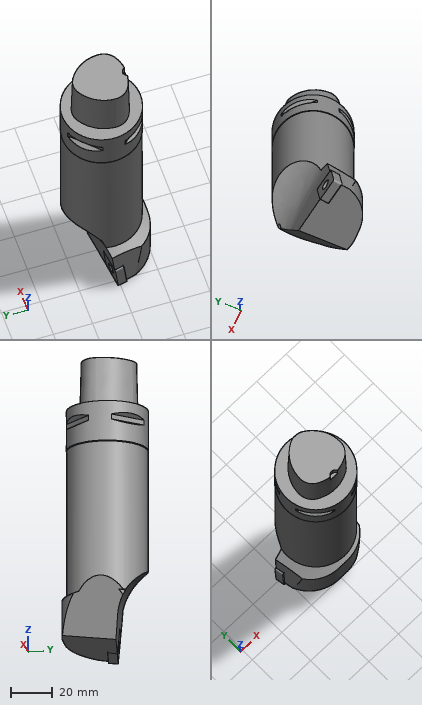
import cadquery as cq
import math


shank_height = 23.9
lobe_distance = 6.0
lobe_radius = 9.0
shank_taper = math.degrees(math.atan(1 / 40))
key_notch_diameter = 5.2
key_notch_depth = 4.2
key_notch_offset = 13.5

flange_diameter = 40.0
flange_height = 20.0
flange_bevel = 0.5
groove_count = 4
groove_floor_distance = 17.5
groove_floor_height = 2.5
groove_mouth_height = 5.3
groove_depth_z = 8.0

neck_diameter = 39.7
neck_bottom = -94.9
head_radius = 20.0
head_center_y = -2.2
head_left_center = -5.5
head_right_center = -0.1
head_bottom_limit = -123.8
head_tangent_angle = 26.7
head_flat_length = 17.3
shoulder_slope = 0.5
shoulder_radius = 43.2

rake_corner = (-24.8, 2.7, -97.0)
rake_slope_x = 0.15
rake_slope_z = 0.1
relief_slope = 0.17
flank_lean = 0.077
bottom_level = -117.0
bottom_slope_x = 0.09
bottom_slope_y = -0.11

chip_arc_rise = 21.3
chip_arc_width = 14.3
chip_drop_per_x = 0.25
chip_sweep = 86.4

back_relief_start = (19.9, -88.3)
back_relief_slope = 2.0

insert_tip_x = -26.8
insert_tip_z = -120.2
insert_edge = 13.0
insert_angle = 80
insert_tilt = 7
insert_thickness = 4.8
insert_corner_radius = 0.9
insert_hole_diameter = 5.2

cut_size = 288


def polar(radius, degrees):
    angle = math.radians(degrees)
    return cq.Vector(radius * math.cos(angle), radius * math.sin(angle))


def half_space(point, outward):
    """Block that fills the side of a plane to which the outward normal points."""
    plane = cq.Plane(origin=point, normal=outward)
    return cq.Workplane(plane).rect(cut_size, cut_size).extrude(cut_size)


def rake_y(x, z):
    corner_x, corner_y, corner_z = rake_corner
    return corner_y + rake_slope_x * (x - corner_x) + rake_slope_z * (z - corner_z)


def make_shank():
    flank_radius = 2 * lobe_distance * math.cos(math.radians(30)) + lobe_radius
    lobe_angles = [90, 210, 330]
    outline = None
    for lobe_angle in lobe_angles:
        center = polar(lobe_distance, lobe_angle)
        lobe_start = center + polar(lobe_radius, lobe_angle - 30)
        lobe_middle = center + polar(lobe_radius, lobe_angle)
        lobe_end = center + polar(lobe_radius, lobe_angle + 30)
        flank_center = polar(lobe_distance, lobe_angle + 240)
        flank_middle = flank_center + polar(flank_radius, lobe_angle + 60)
        next_start = polar(lobe_distance, lobe_angle + 120) + polar(lobe_radius, lobe_angle + 90)
        if outline is None:
            outline = cq.Workplane("XY").moveTo(lobe_start.x, lobe_start.y)
        outline = outline.threePointArc(lobe_middle.toTuple()[:2], lobe_end.toTuple()[:2])
        outline = outline.threePointArc(flank_middle.toTuple()[:2], next_start.toTuple()[:2])
    shank = outline.close().extrude(shank_height, taper=shank_taper)
    notch = (
        cq.Workplane("XY", origin=(0, -key_notch_offset, shank_height - key_notch_depth))
        .circle(key_notch_diameter / 2)
        .extrude(key_notch_depth)
    )
    return shank.cut(notch)


def make_flange_and_neck():
    flange_radius = flange_diameter / 2
    neck_radius = neck_diameter / 2
    body = (
        cq.Workplane("XZ")
        .polyline([
            (0, 0),
            (flange_radius, 0),
            (flange_radius, -flange_height),
            (neck_radius, -flange_height - flange_bevel),
            (neck_radius, neck_bottom),
            (0, neck_bottom),
        ])
        .close()
        .revolve(360, (0, 0), (0, 1))
    )
    half_floor = groove_floor_height / 2
    half_mouth = groove_mouth_height / 2
    groove = (
        cq.Workplane("XZ", origin=(0, 0, -groove_depth_z))
        .polyline([
            (groove_floor_distance, half_floor),
            (flange_radius, half_mouth),
            (flange_radius, -half_mouth),
            (groove_floor_distance, -half_floor),
        ])
        .close()
        .extrude(flange_radius, both=True)
    )
    for index in range(groove_count):
        angle = (index + 0.5) * 360 / groove_count
        body = body.cut(groove.rotate((0, 0, 0), (0, 0, 1), angle))
    return body


def make_head_blank():
    """Offset rounded block under a conical shoulder."""
    tangent = math.radians(head_tangent_angle)
    left_center = cq.Vector(head_left_center, head_center_y)
    wall_end = left_center + polar(head_radius, 180 + head_tangent_angle)
    wall_middle = left_center + polar(head_radius, 225 + head_tangent_angle / 2)
    flat_end_x = wall_end.x - head_flat_length * math.sin(tangent)
    flat_end_y = wall_end.y + head_flat_length * math.cos(tangent)
    head_top_y = head_center_y + head_radius
    head_front_y = head_center_y - head_radius
    right_x = head_right_center + head_radius
    block = (
        cq.Workplane("XY", origin=(0, 0, head_bottom_limit))
        .moveTo(flat_end_x, flat_end_y)
        .lineTo(wall_end.x, wall_end.y)
        .threePointArc((wall_middle.x, wall_middle.y), (head_left_center, head_front_y))
        .lineTo(head_right_center, head_front_y)
        .threePointArc((right_x, head_center_y), (head_right_center, head_top_y))
        .lineTo(flat_end_x, head_top_y)
        .close()
        .extrude(neck_bottom - head_bottom_limit)
    )
    neck_radius = neck_diameter / 2
    shoulder_drop = shoulder_slope * (shoulder_radius - neck_radius)
    shoulder = (
        cq.Workplane("XZ")
        .polyline([
            (0, neck_bottom),
            (neck_radius, neck_bottom),
            (shoulder_radius, neck_bottom - shoulder_drop),
            (shoulder_radius, head_bottom_limit),
            (0, head_bottom_limit),
        ])
        .close()
        .revolve(360, (0, 0), (0, 1))
    )
    return block.intersect(shoulder)


def make_chip_space():
    """Volume in front of the rake face, swept along the line where its arc begins."""
    sweep = cq.Vector(1, rake_slope_x - rake_slope_z * chip_drop_per_x, -chip_drop_per_x)
    overrun = chip_sweep / 4
    start = cq.Vector(*rake_corner) - sweep * overrun
    depth = chip_sweep / 2
    arc_end = (chip_arc_width, chip_arc_rise)
    end_angle = 2 * math.atan2(chip_arc_rise, chip_arc_width) - math.atan2(1, rake_slope_z)
    far_z = chip_arc_rise + (depth - chip_arc_width) * math.tan(end_angle)
    profile = (
        cq.Workplane("YZ", origin=start.toTuple())
        .moveTo(-rake_slope_z * depth, -depth)
        .lineTo(0, 0)
        .tangentArcPoint(arc_end, relative=False)
        .lineTo(depth, far_z)
        .lineTo(depth, -depth)
        .close()
    )
    face = cq.Face.makeFromWires(profile.val())
    return cq.Workplane(cq.Solid.extrudeLinear(face, sweep * chip_sweep))


def make_insert_blank():
    tip = (insert_tip_x, rake_y(insert_tip_x, insert_tip_z), insert_tip_z)
    plane = cq.Plane(origin=tip, xDir=(1, rake_slope_x, 0), normal=(rake_slope_x, -1, rake_slope_z))
    end_corner = polar(insert_edge, insert_tilt)
    side_corner = polar(insert_edge, insert_tilt + insert_angle)
    far_corner = end_corner + side_corner
    center = far_corner * 0.5
    blank = (
        cq.Workplane(plane)
        .polyline([
            (0, 0),
            (end_corner.x, end_corner.y),
            (far_corner.x, far_corner.y),
            (side_corner.x, side_corner.y),
        ])
        .close()
        .extrude(insert_thickness)
    )
    hole = (
        cq.Workplane(plane)
        .center(center.x, center.y)
        .circle(insert_hole_diameter / 2)
        .extrude(insert_thickness)
    )
    blank = blank.edges(cq.selectors.ParallelDirSelector(plane.zDir)).fillet(insert_corner_radius)
    return blank, hole


def make_holder(insert_pocket):
    head = make_head_blank()
    flank = half_space(rake_corner, (-1, -relief_slope, flank_lean))
    end_face = half_space((0, 0, bottom_level), (bottom_slope_x, bottom_slope_y, -1))
    head = head.cut(flank).cut(end_face)
    relief_x, relief_z = back_relief_start
    back_relief = half_space((relief_x, 0, relief_z), (back_relief_slope, 0, -1))
    body = make_flange_and_neck().union(head)
    body = body.cut(back_relief).cut(make_chip_space())
    return body.union(make_shank()).cut(insert_pocket)


insert_blank, insert_hole = make_insert_blank()
cutting_insert = insert_blank.cut(insert_hole)
holder = make_holder(insert_blank)

result = cq.Compound.makeCompound([holder.val(), cutting_insert.val()])